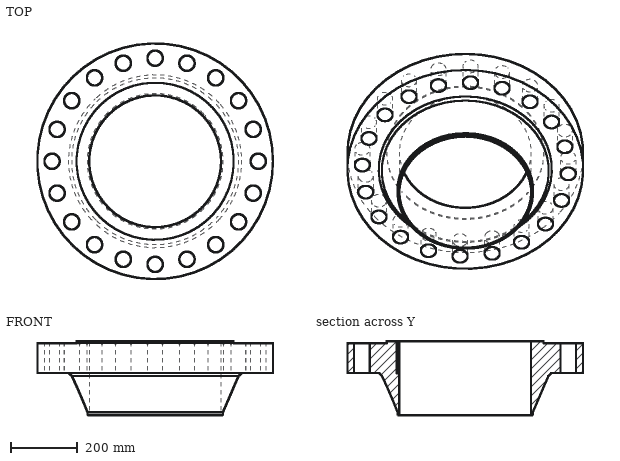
import cadquery as cq

total_height = 222.0
raised_face_height = 5.5
flange_thickness = 90.0
weld_land_height = 10.0
weld_chamfer_height = 3.5
flange_top = total_height - raised_face_height
flange_bottom = flange_top - flange_thickness

flange_radius = 352.5
raised_face_radius = 235.0
bore_radius = 197.0
weld_end_radius = 203.0
weld_chamfer_width = 3.5

hub_radius = 249.5
flare_width = 9.0
flare_height = 8.5

bolt_count = 20
bolt_circle_radius = 308.0
bolt_hole_diameter = 45.0


def flange_body():
    """Revolve the half section of the weld neck flange about Z."""
    section = (
        cq.Workplane("XZ")
        .moveTo(bore_radius, 0)
        .lineTo(weld_end_radius - weld_chamfer_width, 0)
        .lineTo(weld_end_radius, weld_chamfer_height)
        .lineTo(weld_end_radius, weld_land_height)
        .lineTo(hub_radius, flange_bottom - flare_height)
        .lineTo(hub_radius + flare_width, flange_bottom)
        .lineTo(flange_radius, flange_bottom)
        .lineTo(flange_radius, flange_top)
        .lineTo(raised_face_radius, flange_top)
        .lineTo(raised_face_radius, total_height)
        .lineTo(bore_radius, total_height)
        .close()
    )
    return section.revolve(360, (0, 0, 0), (0, 1, 0))


def bolt_holes():
    """Cylinders on the bolt circle, running through the flange."""
    return (
        cq.Workplane("XY")
        .workplane(offset=flange_bottom)
        .polarArray(bolt_circle_radius, 0, 360, bolt_count)
        .circle(bolt_hole_diameter / 2)
        .extrude(flange_thickness)
    )


result = flange_body().cut(bolt_holes())